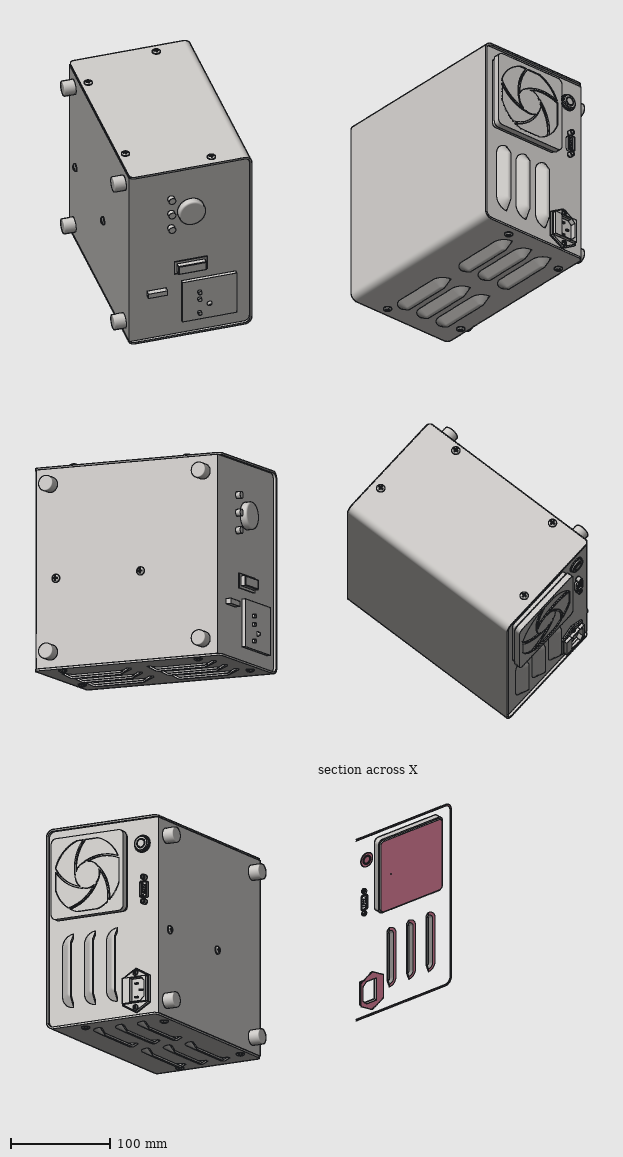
import cadquery as cq
import math

case_width = 210.0
case_depth = 129.2
case_height = 208.0
sheet = 2.0
cover_setback = 0.7
fold_radius = 8.0
flange_corner = 5.0
side_recess = 3.0
half_width = case_width / 2
half_height = case_height / 2
panel_x = half_width - side_recess
embed = 0.7

foot_diameter = 15.8
foot_height = 12.0
foot_edge = 1.0
foot_spacing = 172.0
foot_center_z = -0.5
screw_diameter = 8.5
screw_height = 2.7
front_screw_height = 3.1
dome_share = 0.7
cross_length = 5.0
cross_width = 1.1
cross_depth = 1.1
front_screw_xs = (-79.7, 15.5)
front_screw_z = -11.0
cover_screw_back = (94.5, 89.5)
top_screw_front = (63.7, 8.2)
bottom_screw_front = (76.2, 8.2)

louvre_length = 76.6
louvre_width = 13.1
louvre_inset = 10.5
louvre_ridge = 4.5
louvre_wall = 2.0
louvre_pitch = 25.6
louvre_count = 3
side_louvre_height = 6.7
side_louvre_first_y = 47.7
side_louvre_z = -45.9
bottom_louvre_height = 5.8
bottom_louvre_first_y = 26.3
bottom_louvre_x = 47.9

fan_y = 76.8
fan_z = 49.2
fan_size = 84.2
fan_corner = 5.5
fan_reach = 8.0
fan_face_x = half_width + fan_reach
fan_plate = 6.5
fan_body_size = 81.0
fan_body_corner = 4.2
grille_diameter = 78.0
grille_square = 74.0
grille_depth = 1.3
hub_diameter = 28.0
spoke_width = 1.8
spoke_count = 5
spoke_path = ((-1.8, 39.2), (-13.5, 15.5), (-13.8, 2.2))

round_socket_y = 18.3
round_socket_z = 76.0
round_socket_flange = (17.5, 1.3)
round_socket_body = (15.8, 4.0)
round_socket_bore = (9.5, 2.7)
round_socket_bevel = 1.0
round_socket_core = 8.0

serial_y = 15.5
serial_z = 27.8
serial_width = 8.5
serial_length = 17.0
serial_corner = 2.2
serial_height = 4.0
serial_wall = 1.0
serial_depth = 2.2
serial_pin = 1.07
serial_pitch = 2.7
serial_rows = (5, 4)
jackscrew_diameter = 5.5
jackscrew_bore = 3.3
jackscrew_height = 4.7
jackscrew_spacing = 25.5

inlet_y = 25.2
inlet_z = -76.2
inlet_half_width = 16.0
inlet_half_height = 23.2
inlet_side_half_height = 14.0
inlet_flange = 2.7
inlet_bevel = 1.1
inlet_block_width = 27.6
inlet_block_height = 26.3
inlet_block_top = 6.0
inlet_socket_y = 22.0
inlet_socket_width = 17.0
inlet_socket_height = 24.7
inlet_socket_corner = 4.0
inlet_socket_depth = 5.5
inlet_pin_width = 3.3
inlet_pin_thickness = 1.1
inlet_pin_length = 2.2
inlet_pin_outer = (24.7, 7.1)
inlet_pin_middle_y = 19.5
inlet_screw_diameter = 5.5
inlet_screw_height = 2.5
inlet_screw_spacing = 36.0

knob_y = 65.3
knob_z = 49.0
knob_diameter = 28.0
knob_edge = 2.0
knob_top = 4.7
button_diameter = 7.1
button_top = 2.2
button_y = 44.5
button_pitch = 18.0
rocker_z = -19.8
rocker_size = (29.5, 10.0)
rocker_top = 3.8
rocker_edge = 0.7
bezel_size = (34.5, 15.1)
bezel_height = 1.1
plate_y = 84.2
plate_z = -62.1
plate_size = (57.5, 49.0)
plate_top = 1.0
bar_y = 29.2
bar_z = -45.7
bar_size = (20.3, 5.3)
bar_top = 2.7
pin_diameter = 4.0
pin_top = 3.5
pin_y = 73.5
pin_zs = (-52.5, -61.3, -78.2)
cone_base = 6.5
cone_tip = 1.8
cone_z = -69.3


def left_plane(x, y=0.0, z=0.0):
    """Plane facing -X; local x runs toward -Y and local y up."""
    return cq.Workplane(cq.Plane(origin=(-x, y, z), xDir=(0, -1, 0), normal=(-1, 0, 0)))


def right_plane(y, z):
    """Plane just under the right panel, facing +X; local x runs toward +Y and local y up."""
    return cq.Workplane(cq.Plane(origin=(panel_x - embed, y, z), xDir=(0, 1, 0), normal=(1, 0, 0)))


def make_case():
    cover = (
        cq.Workplane("XY")
        .box(case_width, case_depth - cover_setback, case_height)
        .translate((0, (case_depth + cover_setback) / 2, 0))
        .edges("|X and >Y").fillet(fold_radius)
        .edges("|Z and <Y").fillet(flange_corner)
    )
    inside = (
        cq.Workplane("XY")
        .box(case_width, case_depth - sheet, case_height - 2 * sheet)
        .translate((0, (case_depth - sheet) / 2, 0))
        .edges("|X and >Y").fillet(fold_radius - sheet)
    )
    chassis_zone = cq.Workplane("XY").box(2 * panel_x, 2 * case_depth, case_height)
    return cover.cut(inside).union(inside.intersect(chassis_zone))


def make_foot(x, z):
    return (
        cq.Workplane("XZ", origin=(x, embed, z))
        .circle(foot_diameter / 2).extrude(foot_height + embed)
        .faces("<Y").edges().fillet(foot_edge)
    )


def make_screw(origin, normal, diameter, height):
    """Domed screw head with a cross recess, seated on a face at origin."""
    cross_dir = (0, 0, 1) if normal[2] == 0 else (1, 0, 0)
    base = cq.Workplane(cq.Plane(origin=origin, xDir=cross_dir, normal=normal))
    radius = diameter / 2
    dome_height = dome_share * height
    dome_radius = (radius**2 + dome_height**2) / (2 * dome_height)
    dome = base.workplane(offset=height - dome_radius).sphere(dome_radius)
    head = base.workplane(offset=-embed).circle(radius).extrude(height + embed).intersect(dome)
    scale = diameter / screw_diameter
    cross_floor = base.workplane(offset=height - cross_depth)
    for angle in (0, 90):
        slot = cross_floor.transformed(rotate=(0, 0, angle)).rect(cross_length * scale, cross_width)
        head = head.cut(slot.extrude(height))
    return head


def tapered_slot(plane, length, width, inset, height):
    return (
        cq.Workplane(plane).slot2D(length, width)
        .workplane(offset=height).slot2D(length - 2 * inset, width - 2 * inset)
        .loft(ruled=True)
    )


def make_louvre(plane, height):
    """Hollow hood: half of a tapered slot, open at the mouth line and closed on its +y side."""
    outer = tapered_slot(plane, louvre_length, 2 * louvre_width, louvre_inset, height)
    top = cq.selectors.DirectionMinMaxSelector(plane.zDir)
    outer = outer.faces(top).edges().fillet(louvre_ridge)
    base_inset = louvre_wall * math.hypot(louvre_inset, height) / height
    hollow_height = height - louvre_wall
    hollow = tapered_slot(
        plane,
        louvre_length - 2 * base_inset,
        2 * (louvre_width - base_inset),
        louvre_inset * hollow_height / height,
        hollow_height,
    )
    closed_side = (
        cq.Workplane(plane).center(0, louvre_width)
        .rect(2 * louvre_length, 2 * louvre_width).extrude(2 * height)
    )
    return outer.cut(hollow).intersect(closed_side)


def make_grille():
    """Five openings of the fan guard, cut into the fan face."""
    face = left_plane(fan_face_x, fan_y, fan_z)
    cutter = face.circle(grille_diameter / 2).extrude(-grille_depth)
    cutter = cutter.intersect(face.rect(grille_square, grille_square).extrude(-grille_depth))
    cutter = cutter.cut(face.circle(hub_diameter / 2).extrude(-grille_depth))
    rim, middle, hub = spoke_path
    for i in range(spoke_count):
        spoke = (
            face.transformed(rotate=(0, 0, i * 360 / spoke_count))
            .moveTo(*rim).threePointArc(middle, hub)
            .offset2D(spoke_width / 2).extrude(-grille_depth)
        )
        cutter = cutter.cut(spoke)
    return cutter


def make_fan():
    plate = (
        left_plane(fan_face_x - fan_plate, fan_y, fan_z)
        .rect(fan_size, fan_size).extrude(fan_plate)
        .edges("|X").fillet(fan_corner)
    )
    body = (
        left_plane(panel_x - embed, fan_y, fan_z)
        .rect(fan_body_size, fan_body_size).extrude(fan_face_x - fan_plate - panel_x + embed)
        .edges("|X").fillet(fan_body_corner)
    )
    return plate.union(body).cut(make_grille())


def make_round_socket():
    base = left_plane(panel_x, round_socket_y, round_socket_z)
    flange_diameter, flange_height = round_socket_flange
    body_diameter, body_height = round_socket_body
    bore_diameter, bore_depth = round_socket_bore
    bore = (
        base.workplane(offset=body_height)
        .circle(bore_diameter / 2).circle(round_socket_core / 2).extrude(-bore_depth)
    )
    body = (
        base.circle(body_diameter / 2).extrude(body_height)
        .faces("<X").edges().chamfer(round_socket_bevel)
    )
    return base.circle(flange_diameter / 2).extrude(flange_height).union(body).cut(bore)


def make_serial_port():
    base = left_plane(panel_x, serial_y, serial_z)
    floor = base.workplane(offset=serial_height - serial_depth)
    shell = (
        base.rect(serial_width, serial_length).extrude(serial_height)
        .edges("|X").fillet(serial_corner)
    )
    cavity = (
        floor.rect(serial_width - 2 * serial_wall, serial_length - 2 * serial_wall)
        .extrude(serial_depth)
        .edges("|X").fillet(serial_corner - serial_wall)
    )
    pins = []
    for side, count in zip((-1, 1), serial_rows):
        for i in range(count):
            pins.append((side * serial_pitch / 2, (i - (count - 1) / 2) * serial_pitch))
    port = shell.cut(cavity).union(
        floor.workplane(offset=-embed).pushPoints(pins).circle(serial_pin / 2)
        .extrude(serial_depth)
    )
    jackscrews = (
        base.pushPoints([(0, side * jackscrew_spacing / 2) for side in (-1, 1)])
        .circle(jackscrew_diameter / 2).circle(jackscrew_bore / 2).extrude(jackscrew_height)
    )
    return port.union(jackscrews)


def make_power_inlet():
    base = left_plane(panel_x, inlet_y, inlet_z)
    flange = (
        base.polyline([
            (0, inlet_half_height),
            (inlet_half_width, inlet_side_half_height),
            (inlet_half_width, -inlet_side_half_height),
            (0, -inlet_half_height),
            (-inlet_half_width, -inlet_side_half_height),
            (-inlet_half_width, inlet_side_half_height),
        ]).close().extrude(inlet_flange)
        .faces("<X").edges().chamfer(inlet_bevel)
    )
    block = base.rect(inlet_block_width, inlet_block_height).extrude(inlet_block_top)
    socket = (
        left_plane(panel_x + inlet_block_top, inlet_socket_y, inlet_z)
        .rect(inlet_socket_width, inlet_socket_height).extrude(-inlet_socket_depth)
        .edges("|X and <Y").chamfer(inlet_socket_corner)
    )
    inlet = flange.union(block).cut(socket)
    outer_y, outer_z = inlet_pin_outer
    for y, z in ((outer_y, outer_z), (inlet_pin_middle_y, 0), (outer_y, -outer_z)):
        inlet = inlet.union(
            left_plane(panel_x, y, inlet_z + z)
            .rect(inlet_pin_width, inlet_pin_thickness).extrude(inlet_pin_length)
        )
    for side in (-1, 1):
        seat = (-panel_x - inlet_flange, inlet_y, inlet_z + side * inlet_screw_spacing / 2)
        inlet = inlet.union(make_screw(seat, (-1, 0, 0), inlet_screw_diameter, inlet_screw_height))
    return inlet


def make_controls():
    """Knob, buttons, rocker, terminal plate, pins and connector bar of the right side."""
    rise = side_recess + embed
    knob = (
        right_plane(knob_y, knob_z).circle(knob_diameter / 2).extrude(rise + knob_top)
        .faces(">X").edges().fillet(knob_edge)
    )
    rocker = (
        right_plane(knob_y, rocker_z).rect(*rocker_size).extrude(rise + rocker_top)
        .faces(">X").edges().chamfer(rocker_edge)
    )
    bezel = right_plane(knob_y, rocker_z).rect(*bezel_size).extrude(embed + bezel_height)
    plate = right_plane(plate_y, plate_z).rect(*plate_size).extrude(rise + plate_top)
    bar = right_plane(bar_y, bar_z).rect(*bar_size).extrude(rise + bar_top)
    cone = (
        right_plane(plate_y, cone_z).workplane(offset=rise).circle(cone_base / 2)
        .workplane(offset=pin_top).circle(cone_tip / 2).loft()
    )
    controls = [knob, rocker, bezel, plate, bar, cone]
    for row in (-1, 0, 1):
        button = right_plane(button_y, knob_z + row * button_pitch)
        controls.append(button.circle(button_diameter / 2).extrude(rise + button_top))
    for z in pin_zs:
        controls.append(right_plane(pin_y, z).circle(pin_diameter / 2).extrude(rise + pin_top))
    return controls


def make_cover_screws():
    screws = []
    for up, front_row in ((1, top_screw_front), (-1, bottom_screw_front)):
        for half_spacing, y in (cover_screw_back, front_row):
            for side in (-1, 1):
                seat = (side * half_spacing, y, up * half_height)
                screws.append(make_screw(seat, (0, 0, up), screw_diameter, screw_height))
    return screws


def make_louvres():
    louvres = []
    for i in range(louvre_count):
        y = side_louvre_first_y + i * louvre_pitch
        side = cq.Plane(origin=(-panel_x, y, side_louvre_z), xDir=(0, 0, 1), normal=(-1, 0, 0))
        louvres.append(make_louvre(side, side_louvre_height))
        y = bottom_louvre_first_y + i * louvre_pitch
        for x in (-bottom_louvre_x, bottom_louvre_x):
            under = cq.Plane(origin=(x, y, -half_height), xDir=(-1, 0, 0), normal=(0, 0, -1))
            louvres.append(make_louvre(under, bottom_louvre_height))
    return louvres


features = [make_fan(), make_round_socket(), make_serial_port(), make_power_inlet()]
features += make_controls() + make_cover_screws() + make_louvres()
for x in (-foot_spacing / 2, foot_spacing / 2):
    for z in (-foot_spacing / 2, foot_spacing / 2):
        features.append(make_foot(x, foot_center_z + z))
for x in front_screw_xs:
    features.append(make_screw((x, 0, front_screw_z), (0, -1, 0), screw_diameter, front_screw_height))

result = make_case()
for feature in features:
    result = result.union(feature)